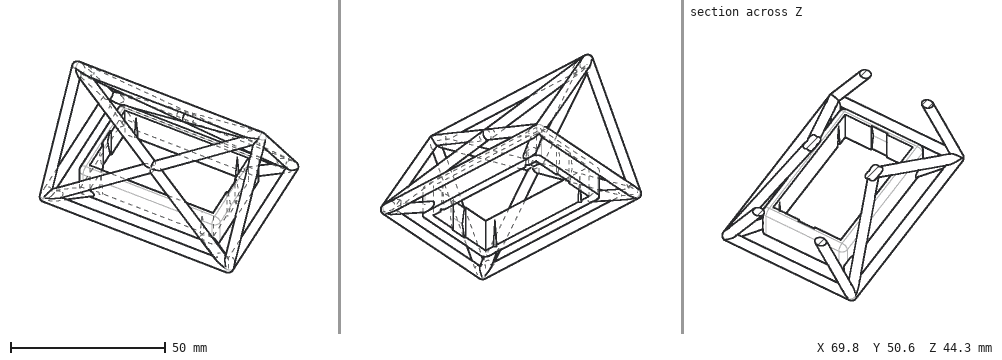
import cadquery as cq
import math

rod_diameter = 3.5
rod_radius = rod_diameter / 2
prism_length = 66.3
triangle_side = 47.1
triangle_height = triangle_side * math.sqrt(3) / 2

opening_length = 44.6
opening_width = 25.6
wall = 3.0
frame_length = opening_length + 2 * wall
frame_width = opening_width + 2 * wall
frame_height = 12.0
frame_bottom = -rod_radius
frame_middle = frame_bottom + frame_height / 2
edge_radius = 2.0

relief_width = 6.0
relief_edge_depth = 0.5
relief_middle_depth = 1.4

nick_offset = 18.3
nick_base_radius = 0.65
nick_height = 10.25


def rod(start, end):
    """Round rod between two points."""
    axis = cq.Vector(*end) - cq.Vector(*start)
    return cq.Workplane(cq.Solid.makeCylinder(rod_radius, axis.Length, cq.Vector(*start), axis))


def joint(center):
    """Ball that rounds off the rods meeting at a corner."""
    return cq.Workplane("XY").sphere(rod_radius).translate(center)


def triangle_corners(x):
    """Front, back and apex corners of the triangular end at x."""
    half_side = triangle_side / 2
    return [(x, -half_side, 0), (x, half_side, 0), (x, 0, triangle_height)]


def centered_box(length, width):
    """Box centred in X and Y that spans the height of the tray frame."""
    return cq.Workplane("XY").box(length, width, frame_height).translate((0, 0, frame_middle))


def build_truss():
    """Two triangular ends, three long rods and crossed diagonals on the three long faces."""
    left = triangle_corners(-prism_length / 2)
    right = triangle_corners(prism_length / 2)
    members = [joint(corner) for corner in left + right]
    for i in range(3):
        j = (i + 1) % 3
        members.append(rod(left[i], left[j]))
        members.append(rod(right[i], right[j]))
        members.append(rod(left[i], right[i]))
        members.append(rod(left[i], right[j]))
        members.append(rod(left[j], right[i]))
    first = members[0].val()
    return cq.Workplane(first.fuse(*[member.val() for member in members[1:]]))


def build_frame_block():
    """Solid block of the tray frame with rounded upright and top outer edges."""
    block = centered_box(frame_length, frame_width)
    return block.edges("|Z or >Z").fillet(edge_radius)


def build_end_reliefs():
    """Prism through the opening whose two ends form the V-shaped reliefs of the end walls."""
    half_height = frame_height / 2
    edge_x = opening_length / 2 + relief_edge_depth
    middle_x = opening_length / 2 + relief_middle_depth
    outline = [
        (-edge_x, -half_height),
        (edge_x, -half_height),
        (middle_x, 0),
        (edge_x, half_height),
        (-edge_x, half_height),
        (-middle_x, 0),
    ]
    prism = cq.Workplane("XZ").polyline(outline).close().extrude(relief_width / 2, both=True)
    return prism.translate((0, 0, frame_middle))


def build_nick(x, y):
    """Slender upright cone at x, y that stands on the bottom plane."""
    base_center = cq.Vector(x, y, frame_bottom)
    return cq.Workplane(cq.Solid.makeCone(nick_base_radius, 0, nick_height, base_center))


result = build_truss().union(build_frame_block())
result = result.cut(centered_box(opening_length, opening_width))
result = result.cut(build_end_reliefs())
for nick_x in (-nick_offset, nick_offset):
    for nick_y in (-opening_width / 2, opening_width / 2):
        result = result.cut(build_nick(nick_x, nick_y))